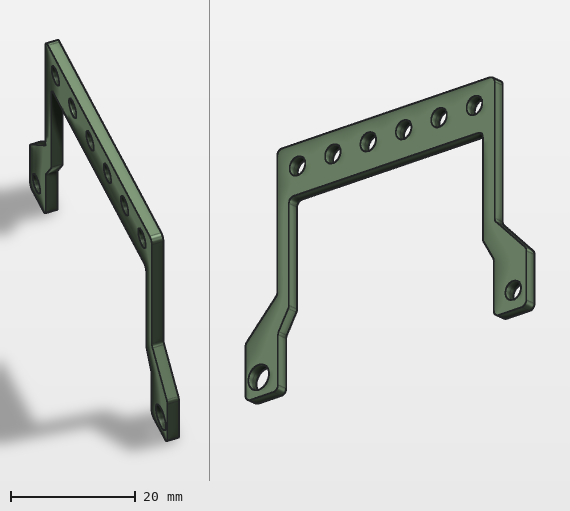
import cadquery as cq

width = 59.6
height = 42.0
thickness = 2.0
corner_radius = 1.0

frame_half_width = 23.05
leg_width = 2.5
bar_height = 9.0
window_half_width = frame_half_width - leg_width
window_top = height - bar_height

foot_half_width = width / 2
foot_width = 6.9
foot_inner_x = foot_half_width - foot_width
foot_top = 10.0
outer_bend_z = foot_top + foot_half_width - frame_half_width
inner_slope_height = 3.95
inner_bend_z = foot_top + inner_slope_height

bar_hole_count = 6
bar_hole_pitch = 7.5
bar_hole_diameter = 3.3
bar_hole_edge_distance = 4.0
bar_hole_z = height - bar_hole_edge_distance

foot_hole_x = 27.0
foot_hole_z = 3.45
small_foot_hole_diameter = 3.3
large_foot_hole_diameter = 4.35


def frame_plate():
    """Symmetric frame outline, extruded about Y = 0, with every corner rounded."""
    right_side = [
        (frame_half_width, height),
        (frame_half_width, outer_bend_z),
        (foot_half_width, foot_top),
        (foot_half_width, 0),
        (foot_inner_x, 0),
        (foot_inner_x, foot_top),
        (window_half_width, inner_bend_z),
        (window_half_width, window_top),
    ]
    left_side = [(-x, z) for x, z in reversed(right_side)]
    plate = cq.Workplane("XZ").polyline(right_side + left_side).close()
    plate = plate.extrude(thickness / 2, both=True)
    return plate.edges("|Y").fillet(corner_radius)


def through_holes(centers, diameter):
    """Cylinders passing through the whole plate thickness."""
    holes = cq.Workplane("XZ").pushPoints(centers).circle(diameter / 2)
    return holes.extrude(thickness, both=True)


first_bar_hole_x = -bar_hole_pitch * (bar_hole_count - 1) / 2
bar_hole_centers = [
    (first_bar_hole_x + i * bar_hole_pitch, bar_hole_z) for i in range(bar_hole_count)
]

result = (
    frame_plate()
    .cut(through_holes(bar_hole_centers, bar_hole_diameter))
    .cut(through_holes([(-foot_hole_x, foot_hole_z)], small_foot_hole_diameter))
    .cut(through_holes([(foot_hole_x, foot_hole_z)], large_foot_hole_diameter))
)